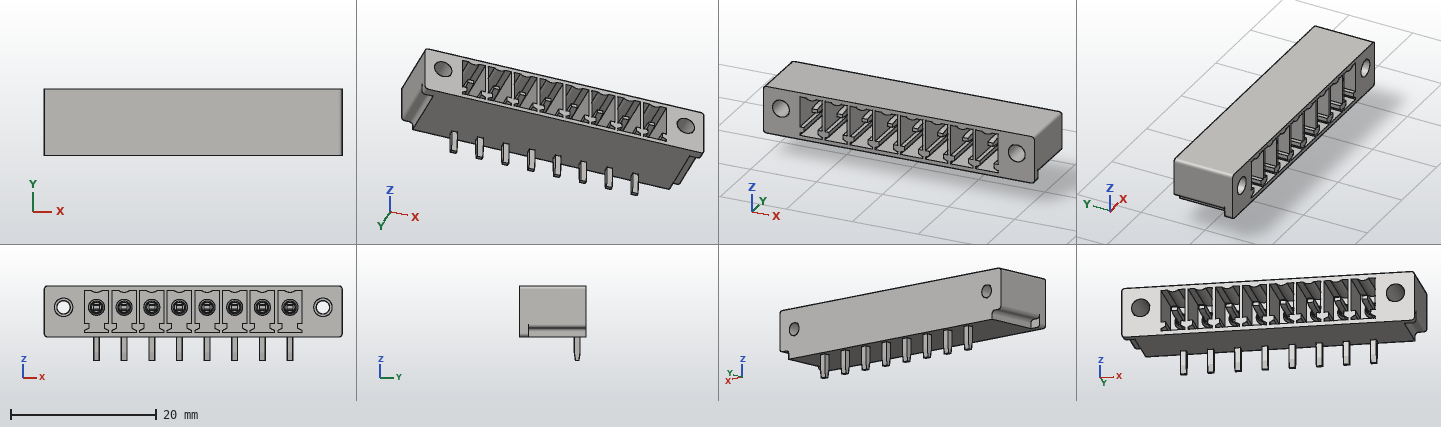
import cadquery as cq
import math


length = 41.05
depth = 9.2
height = 7.05
edge_radius = 0.5

flange_thickness = 1.25
foot_height = 0.75
undercut_radius = edge_radius
undercut_inset = 1.65

contact_count = 8
row_span = 26.65
pitch = row_span / (contact_count - 1)
contact_xs = [i * pitch - row_span / 2 for i in range(contact_count)]
axis_z = 4.1

pocket_width = 3.35
pocket_depth = 7.15
pocket_margin = 0.6
pocket_bottom = pocket_margin
pocket_top = height - pocket_margin
rail_width = 0.6
rail_top = 1.9
rail_corner = 1.25
rail_root = 0.9
bump_width = 1.55
bump_drop = 0.3

boss_base_radius = 1.1
boss_shoulder_radius = 0.85
boss_top_radius = 0.7
boss_height = 0.82
boss_chamfer_height = 0.15

screw_x = 17.85
screw_diameter = 1.8
counterbore_diameter = 2.55
counterbore_depth = pocket_depth

pin_size = 0.82
pin_tip_thickness = 0.5
pin_taper = 1.1
pin_setback = 1.25
tail_length = 3.25
tail_setback = 1.25
tail_y = depth - tail_setback


def make_block():
    block = cq.Workplane("XY").box(length, depth, height, centered=(True, False, False))
    return block.edges("|Y").fillet(edge_radius)


def make_undercut():
    """Space under the left end: a rounded edge, a flat ceiling and a rounded inner corner."""
    left = -length / 2
    edge_x = left + undercut_radius
    inner_x = left + undercut_inset
    corner_x = inner_x - undercut_radius
    ceiling_z = foot_height + undercut_radius
    top_z = ceiling_z + undercut_radius
    arc_reach = undercut_radius * math.sqrt(0.5)
    return (
        cq.Workplane("XZ", origin=(0, flange_thickness, 0))
        .moveTo(left, 0)
        .lineTo(left, top_z)
        .threePointArc((edge_x - arc_reach, top_z - arc_reach), (edge_x, ceiling_z))
        .lineTo(corner_x, ceiling_z)
        .threePointArc((corner_x + arc_reach, foot_height + arc_reach), (inner_x, foot_height))
        .lineTo(inner_x, 0)
        .close()
        .extrude(-(depth - flange_thickness))
    )


def make_pocket(x):
    """Keyed opening with a curved bump in its roof and a hooked rail along each lower side."""
    half = pocket_width / 2
    neck = half - rail_width
    bump = bump_width / 2
    return (
        cq.Workplane("XZ", origin=(x, 0, 0))
        .moveTo(-half, pocket_bottom)
        .lineTo(half, pocket_bottom)
        .lineTo(half, rail_root)
        .lineTo(neck, rail_corner)
        .lineTo(neck, rail_top)
        .lineTo(half, rail_top)
        .lineTo(half, pocket_top)
        .lineTo(bump, pocket_top)
        .threePointArc((0, pocket_top - bump_drop), (-bump, pocket_top))
        .lineTo(-half, pocket_top)
        .lineTo(-half, rail_top)
        .lineTo(-neck, rail_top)
        .lineTo(-neck, rail_corner)
        .lineTo(-half, rail_root)
        .close()
        .extrude(-pocket_depth)
    )


def make_boss(x):
    """Cone standing on the pocket's back wall, with a chamfered rim."""
    shoulder = boss_height - boss_chamfer_height
    return (
        cq.Workplane("XY")
        .polyline(
            [
                (0, 0),
                (boss_base_radius, 0),
                (boss_shoulder_radius, shoulder),
                (boss_top_radius, boss_height),
                (0, boss_height),
            ]
        )
        .close()
        .revolve(360, (0, 0, 0), (0, 1, 0))
        .rotate((0, 0, 0), (0, 0, 1), 180)
        .translate((x, pocket_depth, axis_z))
    )


def make_screw_hole(x):
    axis = cq.Workplane("XZ", origin=(x, 0, axis_z))
    bore = axis.circle(screw_diameter / 2).extrude(-depth)
    counterbore = axis.circle(counterbore_diameter / 2).extrude(-counterbore_depth)
    return bore.union(counterbore)


def make_pin(x):
    half = pin_size / 2
    half_tip = pin_tip_thickness / 2
    blade_taper_y = pin_setback + pin_taper
    tail_taper_z = pin_taper - tail_length
    outline = [
        (pin_setback, axis_z + half_tip),
        (blade_taper_y, axis_z + half),
        (tail_y + half, axis_z + half),
        (tail_y + half, tail_taper_z),
        (tail_y + half_tip, -tail_length),
        (tail_y - half_tip, -tail_length),
        (tail_y - half, tail_taper_z),
        (tail_y - half, axis_z - half),
        (blade_taper_y, axis_z - half),
        (pin_setback, axis_z - half_tip),
    ]
    return cq.Workplane("YZ", origin=(x - half, 0, 0)).polyline(outline).close().extrude(pin_size)


def make_housing(pins):
    housing = make_block()
    undercut = make_undercut()
    housing = housing.cut(undercut).cut(undercut.mirror("YZ"))
    for x in (-screw_x, screw_x):
        housing = housing.cut(make_screw_hole(x))
    for x in contact_xs:
        housing = housing.cut(make_pocket(x)).union(make_boss(x))
    for pin in pins:
        housing = housing.cut(pin)
    return housing


pins = [make_pin(x) for x in contact_xs]
housing = make_housing(pins)

result = cq.Compound.makeCompound([housing.val(), *[pin.val() for pin in pins]])